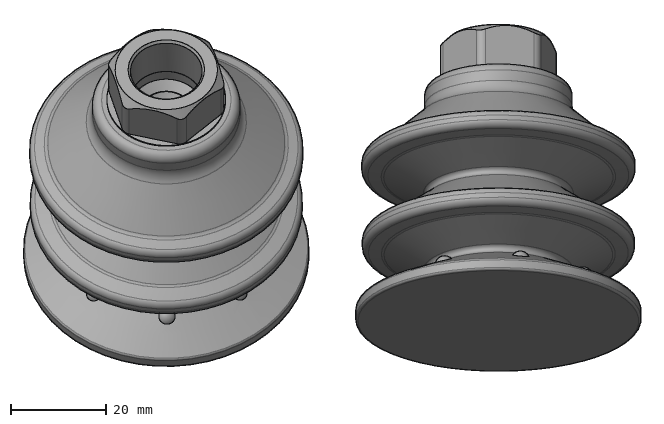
import cadquery as cq
import math

total_height = 62.6
hex_sides = 6
hex_across_flats = 22.1
hex_corner_rounding = 2.0
stem_dia = 25.0
hex_base_z = 52.7
hex_crown_dia = 21.5
crown_angle = 45
bore_dia = 15.0
bore_mouth_chamfer = 0.5
bore_step_z = 52.65
lower_bore_dia = 14.95
funnel_top_z = 50.1
funnel_depth = 1.3
passage_dia = 10.6
stem_bottom_z = 45.25

dish_dia = 10.3
dish_depth = 2.1

collar_top_z = 52.45
collar_radius = 15.5
collar_edge_radius = 1.95
collar_root_radius = 4.0
upper_rim_radius = 28.75
lower_rim_radius = 28.6
rim_edge_radius = 1.5
rim_blend_radius = 2.0
neck_radius = 1.0
base_radius = 30.0
base_edge_radius = 0.5

knob_count = 8
knob_sphere_radius = 2.0
knob_circle_radius = 21.55
knob_sink = 1.05

base_cone_top = (13.85, 10.3)
base_cone_foot = (base_radius, 2.55)
bellows_corners = [
    (0, collar_top_z, 0),
    (collar_radius, collar_top_z, collar_edge_radius),
    (collar_radius, 46.4, collar_root_radius),
    (25.25, 37.5, rim_blend_radius),
    (upper_rim_radius, 36.4, rim_edge_radius),
    (upper_rim_radius, 32.95, rim_edge_radius),
    (24.35, 32.4, rim_blend_radius),
    (14.15, 28.0, neck_radius),
    (24.5, 20.4, rim_blend_radius),
    (lower_rim_radius, 19.0, rim_edge_radius),
    (lower_rim_radius, 15.5, rim_edge_radius),
    (24.3, 14.95, rim_blend_radius),
    (*base_cone_top, neck_radius),
    (*base_cone_foot, base_edge_radius),
    (base_radius, 0, base_edge_radius),
    (0, 0, 0),
]


def rounded_outline(corners):
    """Closed outline on the XZ plane through the corners, each rounded by a tangent arc."""
    outline = cq.Workplane("XZ").moveTo(*corners[0][:2])
    for before, corner, after in zip(corners, corners[1:], corners[2:]):
        point = cq.Vector(*corner[:2])
        rounding = corner[2]
        to_before = (cq.Vector(*before[:2]) - point).normalized()
        to_after = (cq.Vector(*after[:2]) - point).normalized()
        half_angle = to_before.getAngle(to_after) / 2
        tangent_length = rounding / math.tan(half_angle)
        arc_gap = rounding / math.sin(half_angle) - rounding
        start = point + to_before * tangent_length
        middle = point + (to_before + to_after).normalized() * arc_gap
        end = point + to_after * tangent_length
        outline = outline.lineTo(start.x, start.y)
        outline = outline.threePointArc((middle.x, middle.y), (end.x, end.y))
    return outline.lineTo(*corners[-1][:2]).close()


def revolve_about_z(outline):
    return outline.revolve(360, (0, 0, 0), (0, 1, 0))


def make_fitting():
    """Hex head on a round stem, with a chamfered bore that funnels into a through passage."""
    stem = (
        cq.Workplane("XY", origin=(0, 0, stem_bottom_z))
        .circle(stem_dia / 2)
        .extrude(hex_base_z - stem_bottom_z)
    )
    hex_height = total_height - hex_base_z
    hex_prism = (
        cq.Workplane("XY", origin=(0, 0, hex_base_z))
        .polygon(hex_sides, hex_across_flats / math.cos(math.pi / hex_sides))
        .extrude(hex_height)
        .rotate((0, 0, 0), (0, 0, 1), 180 / hex_sides)
        .edges("|Z").fillet(hex_corner_rounding)
    )
    crown_radius = hex_crown_dia / 2
    crown = (
        cq.Workplane("XY", origin=(0, 0, hex_base_z))
        .circle(crown_radius + hex_height * math.tan(math.radians(crown_angle)))
        .extrude(hex_height, taper=crown_angle)
    )
    hex_head = hex_prism.intersect(crown)
    bore_radius = bore_dia / 2
    lower_bore_radius = lower_bore_dia / 2
    mouth_radius = bore_radius + bore_mouth_chamfer
    passage_radius = passage_dia / 2
    bore = revolve_about_z(
        cq.Workplane("XZ").polyline([
            (0, total_height),
            (mouth_radius, total_height),
            (bore_radius, total_height - bore_mouth_chamfer),
            (bore_radius, bore_step_z),
            (lower_bore_radius, bore_step_z),
            (lower_bore_radius, funnel_top_z),
            (passage_radius, funnel_top_z - funnel_depth),
            (passage_radius, stem_bottom_z),
            (0, stem_bottom_z),
        ]).close()
    )
    return stem.union(hex_head).cut(bore)


def make_insert():
    """Plug that fills the passage, with a spherical dish in its top face."""
    rim_radius = passage_dia / 2
    edge_radius = dish_dia / 2
    top_z = funnel_top_z - funnel_depth
    dish_radius = (edge_radius**2 + dish_depth**2) / (2 * dish_depth)
    dish_centre_z = top_z - dish_depth + dish_radius
    plug = (
        cq.Workplane("XY", origin=(0, 0, stem_bottom_z))
        .circle(rim_radius)
        .extrude(top_z - stem_bottom_z)
    )
    return plug.cut(cq.Workplane("XY", origin=(0, 0, dish_centre_z)).sphere(dish_radius))


def make_bellows():
    """Revolved bellows with knobs on its base cone and a socket for the fitting."""
    bellows = revolve_about_z(rounded_outline(bellows_corners))

    cone_run = base_cone_foot[0] - base_cone_top[0]
    cone_drop = base_cone_top[1] - base_cone_foot[1]
    cone_angle = math.atan2(cone_drop, cone_run)
    surface_z = base_cone_foot[1] + (base_radius - knob_circle_radius) * math.tan(cone_angle)
    centre_radius = knob_circle_radius - knob_sink * math.sin(cone_angle)
    centre_z = surface_z - knob_sink * math.cos(cone_angle)
    for i in range(knob_count):
        knob = (
            cq.Workplane("XY", origin=(centre_radius, 0, centre_z))
            .sphere(knob_sphere_radius)
            .rotate((0, 0, 0), (0, 0, 1), i * 360 / knob_count)
        )
        bellows = bellows.union(knob)

    socket = (
        cq.Workplane("XY", origin=(0, 0, stem_bottom_z))
        .circle(stem_dia / 2)
        .extrude(collar_top_z - stem_bottom_z)
    )
    return bellows.cut(socket)


fitting = make_fitting()
insert = make_insert()
bellows = make_bellows()
result = cq.Compound.makeCompound([fitting.val(), insert.val(), bellows.val()])